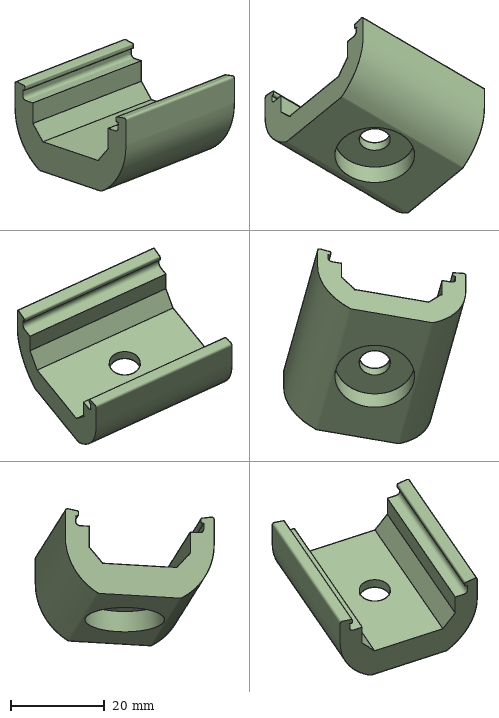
import cadquery as cq
import math

length = 34.0
width = 32.4
height = 18.6
half_width = width / 2

flank_top = 12.4
flank_radius = 14.28
bottom_fillet = 1.02

floor_z = 6.85
floor_half_width = 8.05
wall_half_width = 10.98
wall_bottom = 10.27
ledge_z = 14.95

neck_half_width = half_width - 2.28
lip_half_width = half_width - 2.9
lip_slope = math.radians(9)
lip_bottom = 17.1
neck_fillet = 0.92
lip_fillet = 0.35
rim_fillet = 0.55

hole_diameter = 6.63
bore_diameter = 17.0
bore_depth = 4.55


def flank_x(z):
    """Outer half width at height z on the curved flank."""
    centre_x = half_width - flank_radius
    return centre_x + math.sqrt(flank_radius**2 - (flank_top - z) ** 2)


def make_half():
    """Right half of the extruded section, centred along Y."""
    slope_rise = rim_fillet * (math.tan(lip_slope) + 1 / math.cos(lip_slope))
    sharp_rim_z = height - rim_fillet + slope_rise
    lip_top = sharp_rim_z - (half_width - lip_half_width) * math.tan(lip_slope)
    half = (
        cq.Workplane("XZ")
        .moveTo(0, 0)
        .lineTo(flank_x(0), 0)
        .threePointArc((flank_x(flank_top / 2), flank_top / 2), (half_width, flank_top))
        .lineTo(half_width, sharp_rim_z)
        .lineTo(lip_half_width, lip_top)
        .lineTo(lip_half_width, lip_bottom)
        .lineTo(neck_half_width, lip_bottom)
        .lineTo(neck_half_width, ledge_z)
        .lineTo(wall_half_width, ledge_z)
        .lineTo(wall_half_width, wall_bottom)
        .lineTo(floor_half_width, floor_z)
        .lineTo(0, floor_z)
        .close()
        .extrude(length / 2, both=True)
    )
    rounded_corners = [
        (flank_x(0), 0, bottom_fillet),
        (half_width, sharp_rim_z, rim_fillet),
        (lip_half_width, lip_top, lip_fillet),
        (lip_half_width, lip_bottom, lip_fillet),
        (neck_half_width, ledge_z, neck_fillet),
    ]
    for x, z, radius in rounded_corners:
        corner_edge = cq.selectors.NearestToPointSelector((x, 0, z))
        half = half.edges("|Y").edges(corner_edge).fillet(radius)
    return half


half = make_half()
body = half.union(half.mirror("YZ"))
bore = cq.Workplane("XY").circle(bore_diameter / 2).extrude(bore_depth)
hole = cq.Workplane("XY").circle(hole_diameter / 2).extrude(floor_z)
result = body.cut(bore).cut(hole)